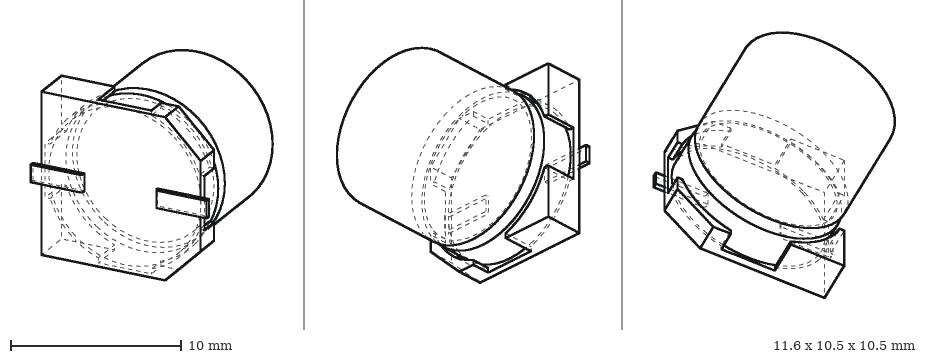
import cadquery as cq

overall_length = 11.6
overall_height = 10.51

lead_thickness = 0.3
lead_length = 3.4
lead_width = 1.13
lead_edge_radius = 0.2

base_side = 10.5
base_floor = 0.5
base_height_left = 2.62
base_height_right = 1.75
base_chamfer = 2.34
notch_width = base_side / 3
recess_clearance = 0.21

can_radius = 5.02
can_top_radius = 0.53
groove_half_width = 0.43
groove_depth = 0.45
groove_height = 3.46

base_bottom = lead_thickness
can_bottom = base_bottom + base_floor


def cylinder_along_y(radius, start, end):
    """Cylinder on the Y axis between two heights."""
    return cq.Workplane("XZ", origin=(0, start, 0)).circle(radius).extrude(start - end)


def make_base():
    """Square base with two chamfered corners, a stepped rim, a loose can recess and four side notches."""
    half = base_side / 2
    rim_profile = [
        (-half, base_bottom),
        (half, base_bottom),
        (half, base_bottom + base_height_right),
        (0, base_bottom + base_height_right),
        (0, base_bottom + base_height_left),
        (-half, base_bottom + base_height_left),
    ]
    base = cq.Workplane("XY").polyline(rim_profile).close().extrude(half, both=True)
    base = base.edges("|Y and >X").chamfer(base_chamfer)

    rim_top = base_bottom + base_height_left
    base = base.cut(cylinder_along_y(can_radius + recess_clearance, can_bottom, rim_top))

    channel_height = rim_top - can_bottom
    channel_centre = (0, can_bottom + channel_height / 2, 0)
    for x_size, z_size in ((notch_width, base_side), (base_side, notch_width)):
        channel = cq.Workplane("XY").box(x_size, channel_height, z_size)
        base = base.cut(channel.translate(channel_centre))
    return base


def make_can():
    """Round can with a rounded top edge and a crimp groove above the base."""
    groove_bottom = groove_height - groove_half_width
    groove_top = groove_height + groove_half_width
    can = (
        cq.Workplane("XY")
        .moveTo(0, can_bottom)
        .lineTo(can_radius, can_bottom)
        .lineTo(can_radius, groove_bottom)
        .threePointArc((can_radius - groove_depth, groove_height), (can_radius, groove_top))
        .lineTo(can_radius, overall_height)
        .lineTo(0, overall_height)
        .close()
        .revolve(360, (0, 0, 0), (0, 1, 0))
    )
    return can.faces(">Y").edges().fillet(can_top_radius)


def make_lead(side):
    """Flat lead under the base, inner lower edge rounded; side is -1 or +1 along X."""
    centre_x = side * (overall_length - lead_length) / 2
    lead = cq.Workplane("XY").box(lead_length, lead_thickness, lead_width)
    inner_face = "<X" if side > 0 else ">X"
    lead = lead.faces(inner_face).edges("<Y").fillet(lead_edge_radius)
    return lead.translate((centre_x, lead_thickness / 2, 0))


base = make_base()
can = make_can()
leads = [make_lead(side) for side in (-1, 1)]

result = cq.Compound.makeCompound([base.val(), can.val(), *[lead.val() for lead in leads]])